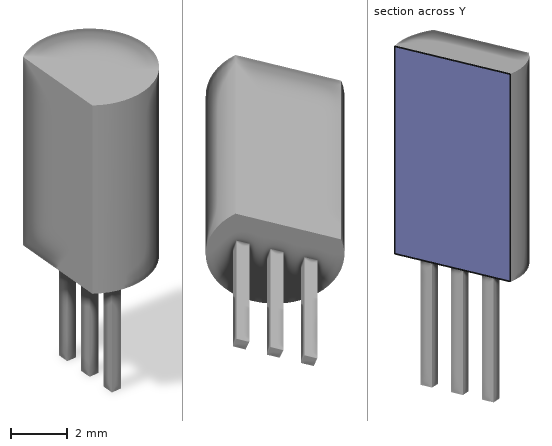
import cadquery as cq
import math

body_radius = 2.45
body_depth = 3.9
body_height = 8.0
flat_y = body_radius - body_depth
flat_half_width = math.sqrt(body_radius**2 - flat_y**2)

lead_width = 0.48
lead_thickness = 0.4
lead_length = 4.95
lead_pitch = 1.27
lead_count = 3


def make_body():
    """D-shaped prism standing on Z = 0, with the cylinder axis on Z."""
    return (
        cq.Workplane("XY")
        .moveTo(-flat_half_width, flat_y)
        .lineTo(flat_half_width, flat_y)
        .threePointArc((0, body_radius), (-flat_half_width, flat_y))
        .close()
        .extrude(body_height)
    )


def make_leads():
    """Row of leads hanging down from the underside of the body."""
    return (
        cq.Workplane("XY")
        .rarray(lead_pitch, 1, lead_count, 1)
        .rect(lead_width, lead_thickness)
        .extrude(-lead_length)
    )


result = make_body().union(make_leads())